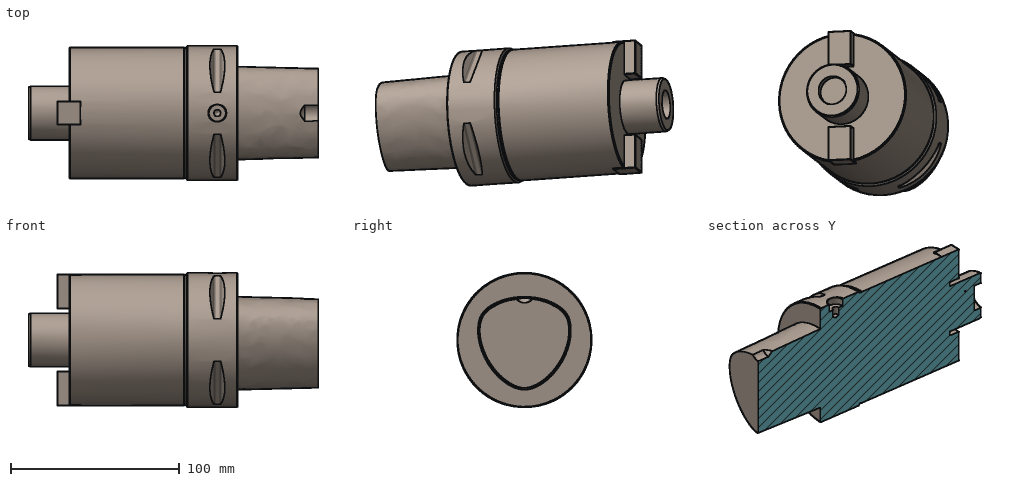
import math

import cadquery as cq

total_length = 172.0

pilot_diameter = 32.0
pilot_length = 24.0
pilot_chamfer_length = 1.4
pilot_chamfer_depth = 0.7
pilot_bore_diameter = 17.0
pilot_bore_depth = 5.2

body_diameter = 78.0
body_front_chamfer = 0.7
neck_diameter = 77.5
neck_length = 2.0
neck_ramp_length = 0.5
flange_diameter = 80.0
flange_length = 30.0
flange_chamfer = 0.5

key_width = 14.0
key_length = 14.0
key_start_x = 17.0
key_bottom = 18.5
key_top = 39.0
key_chamfer = 0.4

shank_length = 48.0
shank_mean_diameter = 55.3
shank_lobe_offset = 1.9
shank_taper_ratio = 1 / 20
shank_lobes = 3
shank_lobe_angle = -90.0
shank_outline_points = 48

shank_groove_diameter = 12.0
shank_groove_length = 8.0
shank_groove_point_length = 6.0
shank_groove_axis_height = 28.1

flange_feature_offset = 12.0

slot_count = 4
slot_first_angle = 45.0
slot_floor_radius = 35.7
slot_floor_width = 3.9
slot_wall_angle = 30.0
slot_floor_fillet = 0.7

hole_diameter = 10.0
hole_depth = 5.0
hole_rim_chamfer = 0.15
hole_inner_diameter = 4.0
hole_inner_depth = 5.0
hole_point_angle = 118.0

flange_end_x = total_length - shank_length
flange_start_x = flange_end_x - flange_length
body_end_x = flange_start_x - neck_length
flange_feature_x = flange_end_x - flange_feature_offset


def turned_body():
    """Pilot, body, neck and flange as one revolved profile."""
    pilot_radius = pilot_diameter / 2
    body_radius = body_diameter / 2
    neck_radius = neck_diameter / 2
    flange_radius = flange_diameter / 2
    profile = [
        (0, 0),
        (0, pilot_radius - pilot_chamfer_depth),
        (pilot_chamfer_length, pilot_radius),
        (pilot_length, pilot_radius),
        (pilot_length, body_radius - body_front_chamfer),
        (pilot_length + body_front_chamfer, body_radius),
        (body_end_x, body_radius),
        (body_end_x + neck_ramp_length, neck_radius),
        (flange_start_x - neck_ramp_length, neck_radius),
        (flange_start_x, flange_radius - flange_chamfer),
        (flange_start_x + flange_chamfer, flange_radius),
        (flange_end_x - flange_chamfer, flange_radius),
        (flange_end_x, flange_radius - flange_chamfer),
        (flange_end_x, 0),
    ]
    return cq.Workplane("XY").polyline(profile).close().revolve(360, (0, 0, 0), (1, 0, 0))


def polygon_wire(x, mean_diameter):
    """Constant-width three-lobed outline in the YZ plane at x."""

    def outline_point(t):
        """Outline point whose normal lies at angle t from the first lobe."""
        lobe_phase = math.radians(shank_lobe_angle)
        support = mean_diameter / 2 + shank_lobe_offset * math.cos(shank_lobes * t)
        slope = -shank_lobes * shank_lobe_offset * math.sin(shank_lobes * t)
        angle = t + lobe_phase
        return (
            support * math.cos(angle) - slope * math.sin(angle),
            support * math.sin(angle) + slope * math.cos(angle),
        )

    angle_step = 2 * math.pi / shank_outline_points
    points = [outline_point(i * angle_step) for i in range(shank_outline_points)]
    return cq.Workplane("YZ", origin=(x, 0, 0)).spline(points, periodic=True).close().wire().val()


def polygon_shank():
    """Tapered three-lobed shank behind the flange."""
    end_diameter = shank_mean_diameter - shank_length * shank_taper_ratio
    large_end = polygon_wire(flange_end_x, shank_mean_diameter)
    small_end = polygon_wire(total_length, end_diameter)
    return cq.Workplane(cq.Solid.makeLoft([large_end, small_end], True))


def drive_key(side):
    """Drive key on the +Z (side = 1) or -Z (side = -1) side of the front face."""
    center_z = side * (key_bottom + key_top) / 2
    return (
        cq.Workplane("XY")
        .box(key_length, key_width, key_top - key_bottom)
        .edges()
        .chamfer(key_chamfer)
        .translate((key_start_x + key_length / 2, 0, center_z))
    )


def pilot_bore():
    """Blind bore in the pilot face."""
    return cq.Workplane("YZ").circle(pilot_bore_diameter / 2).extrude(pilot_bore_depth)


def gripper_slot(angle):
    """Straight slot with sloping walls and a flat, filleted floor, at the given angle about X."""
    rise = flange_diameter / 2 - slot_floor_radius
    half_floor = slot_floor_width / 2
    half_mouth = half_floor + rise * math.tan(math.radians(slot_wall_angle))
    section = [
        (flange_feature_x - half_floor, slot_floor_radius),
        (flange_feature_x + half_floor, slot_floor_radius),
        (flange_feature_x + half_mouth, slot_floor_radius + rise),
        (flange_feature_x - half_mouth, slot_floor_radius + rise),
    ]
    slot = cq.Workplane("XZ").polyline(section).close().extrude(flange_diameter / 2, both=True)
    slot = slot.edges("<Z and |Y").fillet(slot_floor_fillet)
    return slot.rotate((0, 0, 0), (1, 0, 0), angle)


def flange_hole():
    """Stepped hole with a chamfered rim and a drill point, bored into the flange from +Z."""
    radius = hole_diameter / 2
    inner_radius = hole_inner_diameter / 2
    rim_z = flange_diameter / 2
    step_z = rim_z - hole_depth
    inner_end_z = step_z - hole_inner_depth
    point_z = inner_end_z - inner_radius / math.tan(math.radians(hole_point_angle / 2))
    side_z = math.sqrt(rim_z**2 - radius**2) - hole_rim_chamfer
    profile = [
        (0, point_z),
        (inner_radius, inner_end_z),
        (inner_radius, step_z),
        (radius, step_z),
        (radius, side_z),
        (radius + rim_z - side_z, rim_z),
        (0, rim_z),
    ]
    hole = cq.Workplane("XZ").polyline(profile).close().revolve(360, (0, 0, 0), (0, 1, 0))
    return hole.translate((flange_feature_x, 0, 0))


def shank_groove():
    """Drill-shaped groove in the +Z flat of the shank, open at the +X end."""
    radius = shank_groove_diameter / 2
    z = shank_groove_axis_height
    shoulder_x = total_length - shank_groove_length
    profile = [
        (shoulder_x - shank_groove_point_length, z),
        (shoulder_x, z + radius),
        (total_length, z + radius),
        (total_length, z),
    ]
    return cq.Workplane("XZ").polyline(profile).close().revolve(360, (0, z, 0), (1, z, 0))


result = turned_body().union(polygon_shank())
for key_side in (1, -1):
    result = result.union(drive_key(key_side))
result = result.cut(pilot_bore())
for slot_index in range(slot_count):
    result = result.cut(gripper_slot(slot_first_angle + slot_index * 360 / slot_count))
result = result.cut(flange_hole()).cut(shank_groove())